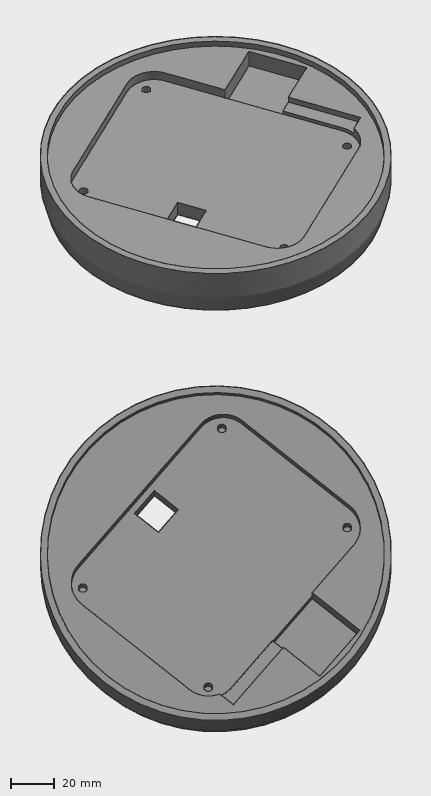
import cadquery as cq

body_diameter = 160.0
base_diameter = 155.0
body_height = 25.0
taper_height = 10.0

recess_diameter = 153.6
recess_depth = 3.0
floor_z = body_height - recess_depth

cavity_diameter = 151.0
cavity_depth = 9.5

pocket_length = 114.2
pocket_width = 90.5
pocket_corner_radius = 13.5
pocket_depth = 5.0
pocket_floor_z = floor_z - pocket_depth

rear_width = 28.5
rear_end_y = 73.5
rear_depth = 9.0

side_end_x = 50.0
side_end_y = 51.8
side_depth = 3.0

screw_diameter = 4.0
screw_depth = 5.0
screw_spacing_x = 99.2
screw_spacing_y = 74.2
screw_center_y = -0.5

opening_size = 14.0
opening_center_y = -35.2


def box_cut(x_start, x_end, y_start, y_end, depth):
    """Rectangular cutter sunk to the given depth below the recess floor."""
    return (
        cq.Workplane("XY", origin=(0, 0, floor_z - depth))
        .moveTo(x_start, y_start)
        .lineTo(x_end, y_start)
        .lineTo(x_end, y_end)
        .lineTo(x_start, y_end)
        .close()
        .extrude(depth)
    )


body = (
    cq.Workplane("XZ")
    .moveTo(0, 0)
    .lineTo(base_diameter / 2, 0)
    .lineTo(body_diameter / 2, taper_height)
    .lineTo(body_diameter / 2, body_height)
    .lineTo(0, body_height)
    .close()
    .revolve(360, (0, 0, 0), (0, 1, 0))
)

recess = (
    cq.Workplane("XY", origin=(0, 0, floor_z))
    .circle(recess_diameter / 2)
    .extrude(recess_depth)
)

cavity = cq.Workplane("XY").circle(cavity_diameter / 2).extrude(cavity_depth)

main_pocket = (
    cq.Workplane("XY", origin=(0, 0, pocket_floor_z))
    .rect(pocket_length, pocket_width)
    .extrude(pocket_depth)
    .edges("|Z")
    .fillet(pocket_corner_radius)
)

pocket_edge_y = pocket_width / 2
side_start_y = pocket_edge_y - pocket_corner_radius / 2
rear_pocket = box_cut(-rear_width / 2, rear_width / 2, pocket_edge_y, rear_end_y, rear_depth)
side_pocket = box_cut(0, side_end_x, side_start_y, side_end_y, side_depth)

screw_holes = (
    cq.Workplane("XY", origin=(0, 0, pocket_floor_z - screw_depth))
    .center(0, screw_center_y)
    .rect(screw_spacing_x, screw_spacing_y, forConstruction=True)
    .vertices()
    .circle(screw_diameter / 2)
    .extrude(screw_depth)
)

opening = (
    cq.Workplane("XY")
    .center(0, opening_center_y)
    .rect(opening_size, opening_size)
    .extrude(body_height)
)

result = body
for cutter in (recess, cavity, main_pocket, rear_pocket, side_pocket, screw_holes, opening):
    result = result.cut(cutter)